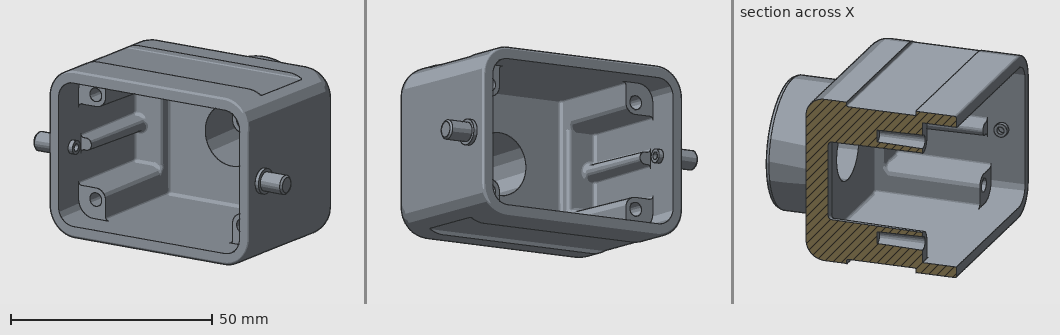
import cadquery as cq
import math


BODY_WIDTH = 59.8
BODY_HEIGHT = 43.0
BODY_LENGTH = 40.0
BODY_CORNER_RADIUS = 7.5
BACK_ROUND = 5.0
MOUTH_ROUND = 0.6

OVERALL_LENGTH = 52.5
NECK_DIAMETER = 34.0
NECK_EDGE_LENGTH = 0.9
NECK_EDGE_INSET = 0.45
NECK_FLARE_RADIUS = 0.9
CABLE_HOLE_DIAMETER = 15.9

LABEL_FRONT = 10.8
LABEL_BACK = 29.1
LABEL_DEPTH = 1.15
LABEL_FLOOR_ROUND = 0.3

MOUTH_WIDTH = 54.2
MOUTH_HEIGHT = 37.0
MOUTH_CORNER_RADIUS = 4.5
MOUTH_DEPTH = 9.0
CENTRE_WIDTH = 38.0
SIDE_HEIGHT = 21.0
POST_ROUND = 2.8
SIDE_FLOOR_DEPTH = 34.0
CENTRE_FLOOR_DEPTH = 37.0
CAVITY_DRAFT = 0.6
FLOOR_ROUND = 0.9
STEP_ROUND = 1.0
EDGE_MARGIN = 0.5

SCREW_HOLE_MOUTH_DIAMETER = 3.5
SCREW_HOLE_END_DIAMETER = 3.0
SCREW_SPACING_X = 43.9
SCREW_SPACING_Z = 27.0
SCREW_HOLE_DEPTH = 12.0

RIB_TIP_DIAMETER = 3.15
RIB_BASE_DIAMETER = 3.85
RIB_CENTRE_X = 25.5
RIB_FRONT = 10.0

PIN_SPAN = 74.4
PIN_DIAMETER = 4.9
PIN_Y = 6.05
PIN_END_CHAMFER = 0.5
COLLAR_DIAMETER = 6.5
COLLAR_SPAN = 61.8
RIVET_DIAMETER = 3.5
RIVET_HOLE_DIAMETER = 1.9
RIVET_LENGTH = 1.3


def xz_plane(y):
    """Work plane across the hood at depth y; extrusions run along +Y, local y is -Z."""
    return cq.Workplane(cq.Plane(origin=(0, y, 0), xDir=(1, 0, 0), normal=(0, 1, 0)))


def x_cylinder(diameter, x_start, x_end):
    """Cylinder on the locking-pin axis between two x positions."""
    plane = cq.Workplane("YZ", origin=(x_start, 0, 0))
    return plane.center(PIN_Y, 0).circle(diameter / 2).extrude(x_end - x_start)


def make_shell():
    """Solid rounded block that the cavity is later cut from."""
    shell = xz_plane(0).rect(BODY_WIDTH, BODY_HEIGHT).extrude(BODY_LENGTH)
    shell = shell.edges("|Y").fillet(BODY_CORNER_RADIUS)
    shell = shell.faces(">Y").edges().fillet(BACK_ROUND)
    return shell.faces("<Y").edges().fillet(MOUTH_ROUND)


def make_neck():
    """Turned neck with a chamfered rim and a concave flare where it leaves the back face."""
    radius = NECK_DIAMETER / 2
    flare_end = BODY_LENGTH + NECK_FLARE_RADIUS
    arc_inset = NECK_FLARE_RADIUS * (1 - math.sqrt(0.5))
    return (
        cq.Workplane("XY")
        .moveTo(0, CENTRE_FLOOR_DEPTH)
        .lineTo(radius, CENTRE_FLOOR_DEPTH)
        .lineTo(radius + NECK_FLARE_RADIUS, BODY_LENGTH)
        .threePointArc((radius + arc_inset, BODY_LENGTH + arc_inset), (radius, flare_end))
        .lineTo(radius, OVERALL_LENGTH - NECK_EDGE_LENGTH)
        .lineTo(radius - NECK_EDGE_INSET, OVERALL_LENGTH)
        .lineTo(0, OVERALL_LENGTH)
        .close()
        .revolve(360, (0, 0, 0), (0, 1, 0))
    )


def make_cable_hole():
    """Through bore along the neck axis."""
    return xz_plane(0).circle(CABLE_HOLE_DIAMETER / 2).extrude(OVERALL_LENGTH)


def make_label_cutter(side):
    """Slot across the full width; side is +1 for the top face and -1 for the bottom."""
    length = LABEL_BACK - LABEL_FRONT
    floor_z = BODY_HEIGHT / 2 - LABEL_DEPTH
    cutter = cq.Workplane("XY").box(BODY_WIDTH, length, 2 * LABEL_DEPTH)
    inner_edges = cutter.faces("<Z" if side > 0 else ">Z").edges("|X")
    cutter = inner_edges.fillet(LABEL_FLOOR_ROUND)
    return cutter.translate((0, LABEL_FRONT + length / 2, side * (floor_z + LABEL_DEPTH)))


def make_rib(side):
    """Drafted U-shaped rib on the inside of a side wall, running from the side floor to the pin."""
    outer_x = (MOUTH_WIDTH + BODY_WIDTH) / 4

    def outline(plane, radius):
        return (
            plane.moveTo(side * outer_x, radius)
            .lineTo(side * RIB_CENTRE_X, radius)
            .threePointArc((side * (RIB_CENTRE_X - radius), 0), (side * RIB_CENTRE_X, -radius))
            .lineTo(side * outer_x, -radius)
            .close()
        )

    front = outline(xz_plane(RIB_FRONT), RIB_TIP_DIAMETER / 2)
    back = front.workplane(offset=SIDE_FLOOR_DEPTH - RIB_FRONT)
    return outline(back, RIB_BASE_DIAMETER / 2).loft(ruled=True)


def between(x_range, y_range, z_range):
    """Selector for the edges whose centres lie inside the given ranges."""
    return cq.selectors.BoxSelector(*zip(x_range, y_range, z_range))


def make_cross_pocket():
    """Drafted cross-shaped pocket that leaves a screw post in each corner and a rib in each arm."""
    centre = xz_plane(MOUTH_DEPTH).rect(CENTRE_WIDTH, MOUTH_HEIGHT)
    centre = centre.extrude(CENTRE_FLOOR_DEPTH - MOUTH_DEPTH, taper=CAVITY_DRAFT)
    arms = xz_plane(MOUTH_DEPTH).rect(MOUTH_WIDTH, SIDE_HEIGHT)
    arms = arms.extrude(SIDE_FLOOR_DEPTH - MOUTH_DEPTH, taper=CAVITY_DRAFT)
    pocket = centre.union(arms)

    x_post = CENTRE_WIDTH / 2
    x_arm = MOUTH_WIDTH / 2
    z_post = SIDE_HEIGHT / 2
    z_wall = MOUTH_HEIGHT / 2
    full_width = (-x_arm, x_arm)
    full_height = (-z_wall, z_wall)
    along_sides = (RIB_FRONT + EDGE_MARGIN, SIDE_FLOOR_DEPTH - EDGE_MARGIN)
    at_side_floor = (SIDE_FLOOR_DEPTH - EDGE_MARGIN, SIDE_FLOOR_DEPTH + EDGE_MARGIN)
    at_centre_floor = (CENTRE_FLOOR_DEPTH - EDGE_MARGIN, CENTRE_FLOOR_DEPTH + EDGE_MARGIN)

    post_edges = between((-x_post, x_post), along_sides, (-z_post, z_post))
    pocket = pocket.edges(post_edges).fillet(POST_ROUND)
    for side in (1, -1):
        pocket = pocket.cut(make_rib(side))

    concave_edges = between(full_width, at_centre_floor, full_height)
    for z_range in ((-z_wall, -z_post - POST_ROUND), (z_post + POST_ROUND, z_wall)):
        concave_edges += between(full_width, along_sides, z_range)
    for x_range in ((-x_arm, -x_arm + EDGE_MARGIN), (x_arm - EDGE_MARGIN, x_arm)):
        concave_edges += between(x_range, along_sides, full_height)
    for x_range in ((-x_arm, -x_post), (x_post, x_arm)):
        concave_edges += between(x_range, at_side_floor, full_height)
    pocket = pocket.edges(concave_edges).fillet(FLOOR_ROUND)

    step_edges = between((-x_post, x_post), at_side_floor, (-z_post, z_post))
    return pocket.edges(step_edges).fillet(STEP_ROUND)


def make_cavity():
    """Plain rounded opening at the mouth, continued by the cross-shaped pocket."""
    mouth = xz_plane(0).rect(MOUTH_WIDTH, MOUTH_HEIGHT).extrude(MOUTH_DEPTH)
    mouth = mouth.edges("|Y").fillet(MOUTH_CORNER_RADIUS)
    return mouth.union(make_cross_pocket())


def make_screw_holes():
    """Slightly conical blind holes, one in the front end of each post."""
    radius_loss = (SCREW_HOLE_MOUTH_DIAMETER - SCREW_HOLE_END_DIAMETER) / 2
    draft = math.degrees(math.atan2(radius_loss, SCREW_HOLE_DEPTH))
    centres = xz_plane(MOUTH_DEPTH).rect(SCREW_SPACING_X, SCREW_SPACING_Z, forConstruction=True)
    holes = centres.vertices().circle(SCREW_HOLE_MOUTH_DIAMETER / 2)
    return holes.extrude(SCREW_HOLE_DEPTH, taper=draft)


def make_pin(side):
    """Locking pin with an outside collar and a hollow riveted end inside the wall."""
    wall_x = MOUTH_WIDTH / 2
    tip_x = wall_x - RIVET_LENGTH
    shank = x_cylinder(PIN_DIAMETER, wall_x, PIN_SPAN / 2).faces(">X").chamfer(PIN_END_CHAMFER)
    collar = x_cylinder(COLLAR_DIAMETER, wall_x, COLLAR_SPAN / 2)
    rivet = x_cylinder(RIVET_DIAMETER, tip_x, wall_x)
    rivet = rivet.cut(x_cylinder(RIVET_HOLE_DIAMETER, tip_x, wall_x))
    pin = shank.union(collar).union(rivet)
    return pin if side > 0 else pin.mirror("YZ")


housing = make_shell().union(make_neck())
housing = housing.cut(make_cavity()).cut(make_screw_holes())
housing = housing.cut(make_cable_hole())
for direction in (1, -1):
    housing = housing.cut(make_label_cutter(direction))
    housing = housing.union(make_pin(direction))

result = housing